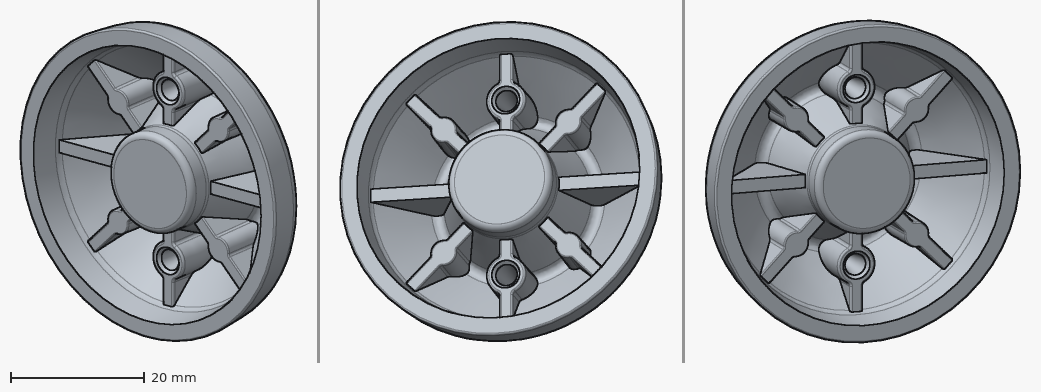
import cadquery as cq
height = 18.0

rim_radius = 24.5
rim_edge_round = 0.3
shoulder_radius = 23.95
shoulder_height = 5.9
dome_mid = (17.0, 13.25)
dome_top_radius = 11.1
shoulder_round = 3.0
top_edge_round = 1.6

mouth_radius = 21.8
wall_foot = (20.95, 4.9)
wall_foot_round = 2.0
valley = (12.1, 14.6)
valley_round = 1.2
hub_radius = 8.0
hub_face_y = 0.65
hub_cone_y = 4.4
hub_edge_round = 1.05
hub_foot_round = 1.5

rib_face_y = 5.0
rib_width = 2.05
rib_inner_radius = 6.0
rib_outer_radius = 22.5
rib_end_y = 17.0
main_angles = (0, 180)
pad_angles = (45, 135, 225, 315)
boss_angles = (90, 270)
boss_distance = 13.6
boss_radius = 3.0
pad_radius = 1.95
main_draft = 2.0
boss_draft = 0.7
boss_rib_edge_round = 0.35
pad_rib_edge_round = 0.2
corner_round = 0.6

hole_mouth_radius = 2.15
hole_radius = 1.65
hole_end_radius = 0.6
countersink_depth = 0.55
hole_end_y = 13.5


def turned(profile):
    """Revolve a closed (radius, y) profile about the Y axis."""
    return profile.close().revolve(360, (0, 0, 0), (0, 1, 0))


def circles_at(y, tolerance=0.02):
    """Select circular edges centred on the Y axis at the given height."""
    return cq.selectors.BoxSelector((-1, y - tolerance, -1), (1, y + tolerance, 1))


def plane_at(y):
    """Workplane at height y; extruding by a negative length goes toward +Y."""
    return cq.Workplane("XZ", origin=(0, y, 0))


def make_dome():
    profile = (
        cq.Workplane("XY")
        .lineTo(rim_radius, 0)
        .lineTo(shoulder_radius, shoulder_height)
        .threePointArc(dome_mid, (dome_top_radius, height))
        .lineTo(0, height)
    )
    dome = turned(profile)
    dome = dome.edges(circles_at(height)).fillet(top_edge_round)
    dome = dome.edges(circles_at(shoulder_height)).fillet(shoulder_round)
    return dome.edges(circles_at(0)).fillet(rim_edge_round)


def make_cavity():
    profile = (
        cq.Workplane("XY")
        .lineTo(mouth_radius, 0)
        .lineTo(*wall_foot)
        .lineTo(*valley)
        .lineTo(hub_radius, hub_cone_y)
        .lineTo(hub_radius, hub_face_y)
        .lineTo(0, hub_face_y)
    )
    cavity = turned(profile)
    cavity = cavity.edges(circles_at(valley[1])).fillet(valley_round)
    cavity = cavity.edges(circles_at(wall_foot[1])).fillet(wall_foot_round)
    cavity = cavity.edges(circles_at(hub_cone_y)).fillet(hub_foot_round)
    return cavity.edges(circles_at(hub_face_y)).fillet(hub_edge_round)


def make_rib(draft):
    """Drafted radial rib along +X, widening away from its face."""
    length = rib_outer_radius - rib_inner_radius
    return (
        plane_at(rib_face_y)
        .center(rib_inner_radius + length / 2, 0)
        .rect(length, rib_width)
        .extrude(rib_face_y - rib_end_y, taper=-draft)
    )


def make_bossed_rib(radius, edge_round):
    """Rib along +X with a round boss on it, blended at the corners and along the face."""
    boss = (
        plane_at(rib_face_y)
        .center(boss_distance, 0)
        .circle(radius)
        .extrude(rib_face_y - rib_end_y, taper=-boss_draft)
    )
    rib = make_rib(boss_draft).union(boss)
    corners = cq.selectors.BoxSelector(
        (boss_distance - radius, rib_face_y, -radius),
        (boss_distance + radius, rib_end_y, radius),
    )
    rib = rib.edges(corners).edges("not(#Y)").edges("not %CIRCLE").fillet(corner_round)
    return rib.faces("<Y").edges().fillet(edge_round)


def spun(body, angle):
    """Turn a body about the Y axis."""
    return body.rotate((0, 0, 0), (0, 1, 0), angle)


def make_hole():
    """Countersunk tapered blind hole in a boss on +X."""
    profile = (
        cq.Workplane("XY")
        .moveTo(0, rib_face_y)
        .lineTo(hole_mouth_radius, rib_face_y)
        .lineTo(hole_radius, rib_face_y + countersink_depth)
        .lineTo(hole_end_radius, hole_end_y)
        .lineTo(0, hole_end_y)
    )
    return turned(profile).translate((boss_distance, 0, 0))


main_rib = make_rib(main_draft)
pad_rib = make_bossed_rib(pad_radius, pad_rib_edge_round)
boss_rib = make_bossed_rib(boss_radius, boss_rib_edge_round)

pocket = make_cavity()
for angle in main_angles:
    pocket = pocket.cut(spun(main_rib, angle))
for angle in pad_angles:
    pocket = pocket.cut(spun(pad_rib, angle))
for angle in boss_angles:
    pocket = pocket.cut(spun(boss_rib, angle))

result = make_dome().cut(pocket)
for angle in boss_angles:
    result = result.cut(spun(make_hole(), angle))